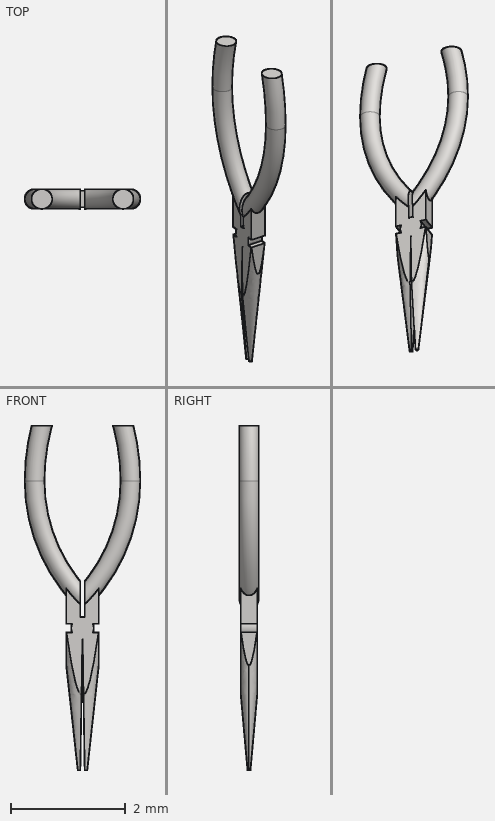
import cadquery as cq
import math

height = 6.01

body_width = 0.57
body_thickness = 0.29
jaw_root_z = 2.405
handle_slot_width = 0.08
handle_slot_bottom = 2.675

notch_height = 0.15
pivot_radius = 0.2
pivot_z = jaw_root_z + notch_height / 2

tip_half_x, tip_half_y = 0.085, 0.03
root_half_x, root_half_y = 0.35, 0.24
jaw_gap_at_tip = 0.07
jaw_gap_apex_z = 2.285

handle_radius = 0.175
handle_span = 2.02
widest_z = 5.05
upper_bend_radius = 3.725
lower_bend_radius = 2.945
widest_x = handle_span / 2 - handle_radius
trim_overrun = 0.36


def bend_point(bend_radius, angle):
    """Point on a right handle arc, at an angle up from its widest point."""
    return (
        widest_x - bend_radius * (1 - math.cos(angle)),
        widest_z + bend_radius * math.sin(angle),
    )


def lower_bend_angle(x):
    """Angle at which the lower arc of the right handle reaches the given X."""
    return -math.acos(1 - (widest_x - x) / lower_bend_radius)


def make_right_handle():
    start_angle = lower_bend_angle(-trim_overrun)
    end_angle = math.asin((height + trim_overrun - widest_z) / upper_bend_radius)
    start = bend_point(lower_bend_radius, start_angle)
    path = (
        cq.Workplane("XZ")
        .moveTo(*start)
        .threePointArc(bend_point(lower_bend_radius, start_angle / 2), (widest_x, widest_z))
        .threePointArc(
            bend_point(upper_bend_radius, end_angle / 2),
            bend_point(upper_bend_radius, end_angle),
        )
    )
    section_plane = cq.Plane(
        origin=(start[0], 0, start[1]),
        xDir=(0, 1, 0),
        normal=(-math.sin(start_angle), 0, math.cos(start_angle)),
    )
    handle = cq.Workplane(section_plane).circle(handle_radius).sweep(path)
    keep = cq.Workplane("XY").box(
        handle_span, body_thickness + handle_span, height, centered=(False, True, False)
    ).translate((handle_slot_width / 2, 0, 0))
    return handle.intersect(keep)


def make_body():
    half_width = body_width / 2
    inner_top = bend_point(lower_bend_radius, lower_bend_angle(0))
    outer_top = bend_point(lower_bend_radius, lower_bend_angle(half_width))
    outline = [
        (-half_width, jaw_root_z),
        (half_width, jaw_root_z),
        outer_top,
        inner_top,
        (-outer_top[0], outer_top[1]),
    ]
    body = cq.Workplane("XZ").polyline(outline).close().extrude(body_thickness / 2, both=True)
    notch_band = cq.Workplane("XY").box(body_width, body_thickness, notch_height)
    pivot = cq.Workplane("XZ").circle(pivot_radius).extrude(body_thickness / 2, both=True)
    return body.cut(notch_band.cut(pivot).translate((0, 0, pivot_z)))


def make_jaws():
    taper = (
        cq.Workplane("XY")
        .ellipse(tip_half_x, tip_half_y)
        .workplane(offset=jaw_root_z)
        .ellipse(root_half_x, root_half_y)
        .loft(ruled=True)
    )
    blank = cq.Workplane("XY").box(
        body_width, body_thickness, jaw_root_z, centered=(True, True, False)
    )
    gap = (
        cq.Workplane("XZ")
        .polyline([(-jaw_gap_at_tip / 2, 0), (jaw_gap_at_tip / 2, 0), (0, jaw_gap_apex_z)])
        .close()
        .extrude(body_thickness, both=True)
    )
    return taper.intersect(blank).cut(gap)


def make_handle_slot():
    return (
        cq.Workplane("XY")
        .box(handle_slot_width, body_thickness, height, centered=(True, True, False))
        .translate((0, 0, handle_slot_bottom))
    )


right_handle = make_right_handle()
left_handle = right_handle.mirror("YZ")
body = make_body().cut(make_handle_slot())
result = body.union(make_jaws()).union(right_handle).union(left_handle)